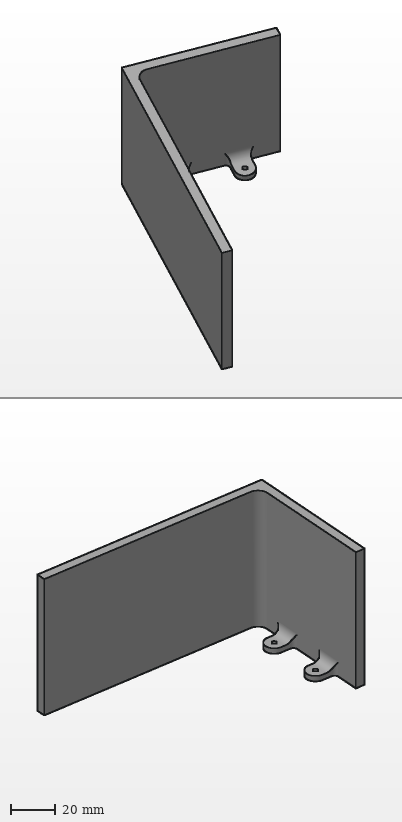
import cadquery as cq

length = 130.0
depth = 75.0
height = 73.0
wall = 5.1
corner_radius = 5.5

tab_radius = 5.1
tab_thickness = 3.0
tab_hole_x = 12.6
tab_hole_diameter = 2.5
tab_top_fillet = 5.1
tab_side_fillet = 2.2
first_tab_y = 25.0
tab_spacing = 30.0
tab_count = 2


def make_walls():
    """Two upright walls meeting at the origin, rounded in the inner corner."""
    walls = (
        cq.Workplane("XY")
        .moveTo(0, 0)
        .lineTo(length, 0)
        .lineTo(length, wall)
        .lineTo(wall, wall)
        .lineTo(wall, depth)
        .lineTo(0, depth)
        .close()
        .extrude(height)
    )
    inner_corner = cq.selectors.NearestToPointSelector((wall, wall, height / 2))
    return walls.edges(inner_corner).fillet(corner_radius)


def make_tab(center_y):
    """Round-ended tab at the base, flared sideways and upwards into the wall."""
    flare_x = wall + tab_side_fillet
    flare_half_width = tab_radius + tab_side_fillet
    flare_offset = tab_side_fillet * (1 - 0.5 ** 0.5)
    outline = (
        cq.Workplane("XY")
        .moveTo(wall, -flare_half_width)
        .threePointArc((wall + flare_offset, -tab_radius - flare_offset), (flare_x, -tab_radius))
        .lineTo(tab_hole_x, -tab_radius)
        .threePointArc((tab_hole_x + tab_radius, 0), (tab_hole_x, tab_radius))
        .lineTo(flare_x, tab_radius)
        .threePointArc((wall + flare_offset, tab_radius + flare_offset), (wall, flare_half_width))
        .lineTo(0, flare_half_width)
        .lineTo(0, -flare_half_width)
        .close()
    )
    flare_top = tab_thickness + tab_top_fillet
    arc_offset = tab_top_fillet * (1 - 0.5 ** 0.5)
    side_profile = (
        cq.Workplane("XZ")
        .moveTo(0, 0)
        .lineTo(tab_hole_x + tab_radius, 0)
        .lineTo(tab_hole_x + tab_radius, tab_thickness)
        .lineTo(wall + tab_top_fillet, tab_thickness)
        .threePointArc((wall + arc_offset, tab_thickness + arc_offset), (wall, flare_top))
        .lineTo(0, flare_top)
        .close()
        .extrude(flare_half_width, both=True)
    )
    hole = cq.Workplane("XY").center(tab_hole_x, 0).circle(tab_hole_diameter / 2).extrude(flare_top)
    tab = outline.extrude(flare_top).intersect(side_profile).cut(hole)
    return tab.translate((0, center_y, 0))


result = make_walls()
for index in range(tab_count):
    result = result.union(make_tab(first_tab_y + index * tab_spacing))